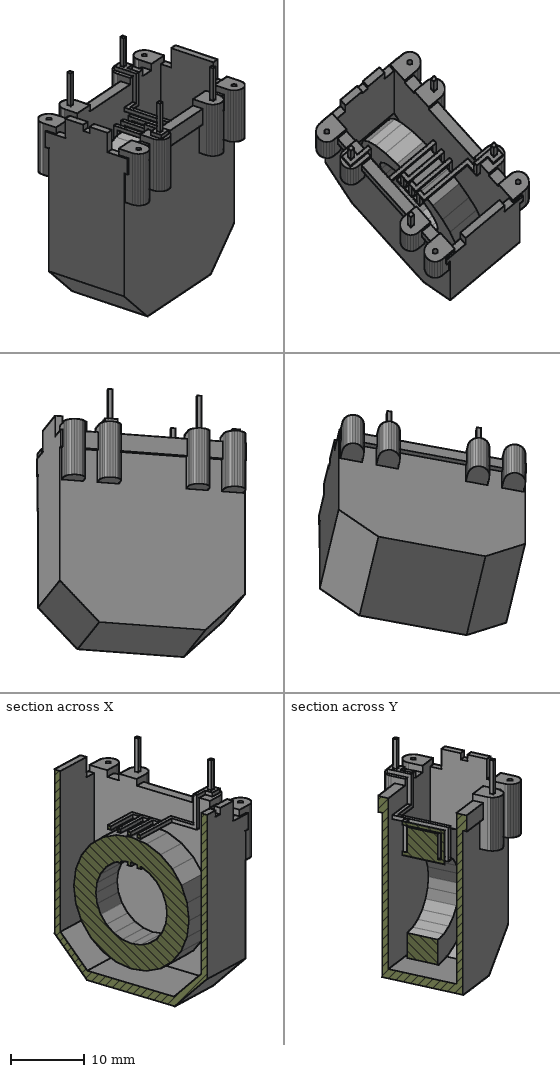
import cadquery as cq

FACETS = 24

BODY_WIDTH = 12.6
BODY_LENGTH = 26.0
WALL = 1.05
BASE_CHAMFER = 5.55
FLOOR_LEVEL = 1.5
FLOOR_LENGTH = 14.72
RIM_LEVEL = 27.0
CAVITY_WIDTH = BODY_WIDTH - 2 * WALL
CAVITY_LENGTH = BODY_LENGTH - 2 * WALL

FLANGE_WIDTH = 13.75
FLANGE_BOTTOM = 24.55
TAB_WIDTH = 7.05
TAB_TOP = 30.0
NOTCH_WIDTH = 1.05
NOTCH_DEPTH = 0.95

PILLAR_RADIUS = 1.5
PILLAR_BOTTOM = 20.0
PILLAR_TOP = 28.0
PILLAR_X = 7.5
SCREW_PILLAR_Y = 11.25
PIN_PILLAR_Y = 6.25
SCREW_HOLE_DIAMETER = 0.7
SCREW_HOLE_DEPTH = 5.0
WIRE = 0.6
PIN_TOP = 33.0
PIN_LENGTH = 10.0
PIN_BOTTOM = PIN_TOP - PIN_LENGTH

CORE_X = -0.03
CORE_Y = -0.1
CORE_Z = 13.5
CORE_RADIUS = 9.85
CORE_HOLE_RADIUS = 6.0
CORE_WIDTH = 4.82

TURNS = 3
TURN_PITCH = 1.68
FIRST_BAR_Y = 3.65
COIL_LEFT = -3.43
COIL_RIGHT = 3.17
COIL_TOP = 24.02
LOWER_BAR_TOP = CORE_Z + CORE_HOLE_RADIUS
UPPER_BAR = (COIL_TOP - WIRE, COIL_TOP)
TURN_STEP = 0.9
LOOP_SIDE = 3 * WIRE


def block(x_range, y_range, z_range):
    """Box spanning the given pairs of limits, each in either order."""
    x_low, x_high = sorted(x_range)
    y_low, y_high = sorted(y_range)
    z_low, z_high = sorted(z_range)
    return cq.Workplane("XY").box(
        x_high - x_low, y_high - y_low, z_high - z_low, centered=False
    ).translate((x_low, y_low, z_low))


def centered(size, middle=0.0):
    """Limits of a span of the given size about its middle."""
    return (middle - size / 2, middle + size / 2)


def trough(width, length, bottom, flat_length, slope_height, top):
    """Prism along X whose lower ends slope in to a flat bottom."""
    return (
        cq.Workplane("YZ")
        .polyline([
            (-flat_length / 2, bottom),
            (flat_length / 2, bottom),
            (length / 2, bottom + slope_height),
            (length / 2, top),
            (-length / 2, top),
            (-length / 2, bottom + slope_height),
        ])
        .close()
        .extrude(width / 2, both=True)
    )


def pillar(side, y):
    """Faceted round-nosed pillar reaching in to the cavity wall; side is -1 or 1."""
    height = PILLAR_TOP - PILLAR_BOTTOM
    nose = (
        cq.Workplane("XY", origin=(side * PILLAR_X, y, PILLAR_BOTTOM))
        .polygon(FACETS, 2 * PILLAR_RADIUS)
        .extrude(height)
    )
    root = block(
        (side * CAVITY_WIDTH / 2, side * PILLAR_X),
        centered(2 * PILLAR_RADIUS, y),
        (PILLAR_BOTTOM, PILLAR_TOP),
    )
    return nose.union(root)


def make_pin(side, y):
    """Square pin standing in a pillar."""
    return block(centered(WIRE, side * PILLAR_X), centered(WIRE, y), (PIN_BOTTOM, PIN_TOP))


def make_housing():
    """Open-topped shell with its rim flange, end tabs and pillars."""
    shell = trough(
        BODY_WIDTH, BODY_LENGTH, 0, BODY_LENGTH - 2 * BASE_CHAMFER, BASE_CHAMFER, RIM_LEVEL
    )
    shell = shell.union(block(centered(FLANGE_WIDTH), centered(BODY_LENGTH), (FLANGE_BOTTOM, RIM_LEVEL)))
    shell = shell.union(block(centered(TAB_WIDTH), centered(BODY_LENGTH), (RIM_LEVEL, TAB_TOP)))
    for side in (-1, 1):
        for y in (-SCREW_PILLAR_Y, -PIN_PILLAR_Y, PIN_PILLAR_Y, SCREW_PILLAR_Y):
            shell = shell.union(pillar(side, y))

    slope_run = (CAVITY_LENGTH - FLOOR_LENGTH) / 2
    shell = shell.cut(
        trough(CAVITY_WIDTH, CAVITY_LENGTH, FLOOR_LEVEL, FLOOR_LENGTH, slope_run, TAB_TOP)
    )

    shell = shell.cut(block(
        centered(NOTCH_WIDTH),
        (-BODY_LENGTH / 2, -CAVITY_LENGTH / 2),
        (TAB_TOP - NOTCH_DEPTH, TAB_TOP),
    ))

    for side in (-1, 1):
        for y in (-SCREW_PILLAR_Y, SCREW_PILLAR_Y):
            shell = shell.cut(
                cq.Workplane("XY", origin=(side * PILLAR_X, y, PILLAR_TOP))
                .circle(SCREW_HOLE_DIAMETER / 2)
                .extrude(-SCREW_HOLE_DEPTH)
            )
        for y in (-PIN_PILLAR_Y, PIN_PILLAR_Y):
            shell = shell.cut(make_pin(side, y))
    return shell


def make_core():
    """Faceted ring with its axis along X."""
    return (
        cq.Workplane("YZ", origin=(CORE_X - CORE_WIDTH / 2, CORE_Y, CORE_Z))
        .polygon(FACETS, 2 * CORE_RADIUS)
        .polygon(FACETS, 2 * CORE_HOLE_RADIUS)
        .extrude(CORE_WIDTH)
    )


def make_turn(bar_y):
    """One turn: over the core, down its +X side, back under it and up its -X side."""
    lower = (LOWER_BAR_TOP - WIRE, LOWER_BAR_TOP)
    right = (COIL_RIGHT - WIRE, COIL_RIGHT)
    left = (COIL_LEFT, COIL_LEFT + WIRE)
    bar = centered(WIRE, bar_y)
    leg = centered(WIRE, bar_y - TURN_STEP)
    next_bar = centered(WIRE, bar_y - TURN_PITCH)

    turn = block((COIL_LEFT, COIL_RIGHT), bar, UPPER_BAR)
    turn = turn.union(block(right, (leg[0], bar[1]), UPPER_BAR))
    turn = turn.union(block(right, leg, (lower[0], COIL_TOP)))
    turn = turn.union(block(right, (next_bar[0], leg[1]), lower))
    turn = turn.union(block((COIL_LEFT, COIL_RIGHT), next_bar, lower))
    return turn.union(block(left, next_bar, (lower[0], COIL_TOP)))


def make_lead(side, bar_y):
    """Lead from the end of a bar, along and up the cavity wall, to a loop around a pin."""
    wall_x = side * CAVITY_WIDTH / 2
    inner_x = wall_x - side * WIRE
    pin_x = side * PILLAR_X
    pin_y = -side * PIN_PILLAR_Y
    riser_y = pin_y + side * WIRE
    loop_level = (PILLAR_TOP, PILLAR_TOP + WIRE)
    along_wall = (bar_y + side * WIRE / 2, riser_y - side * WIRE / 2)

    lead = block((wall_x, 0), centered(WIRE, bar_y), UPPER_BAR)
    lead = lead.union(block((wall_x, inner_x), along_wall, UPPER_BAR))
    lead = lead.union(block((wall_x, inner_x), centered(WIRE, riser_y), (UPPER_BAR[0], loop_level[1])))
    lead = lead.union(block((inner_x, pin_x), centered(WIRE, riser_y), loop_level))
    loop = block(centered(LOOP_SIDE, pin_x), centered(LOOP_SIDE, pin_y), loop_level)
    return lead.union(loop).cut(make_pin(side, pin_y))


def make_coil():
    """Winding of a few turns with a lead at each end."""
    last_bar_y = FIRST_BAR_Y - TURNS * TURN_PITCH
    coil = make_lead(-1, FIRST_BAR_Y).union(make_lead(1, last_bar_y))
    coil = coil.union(block((COIL_LEFT, 0), centered(WIRE, last_bar_y), UPPER_BAR))
    for index in range(TURNS):
        coil = coil.union(make_turn(FIRST_BAR_Y - index * TURN_PITCH))
    return coil


housing = make_housing()
pins = [make_pin(side, y) for side in (-1, 1) for y in (-PIN_PILLAR_Y, PIN_PILLAR_Y)]
wound_core = make_core().union(make_coil())

result = cq.Compound.makeCompound([
    housing.solids().val(),
    wound_core.solids().val(),
    *[pin.val() for pin in pins],
])